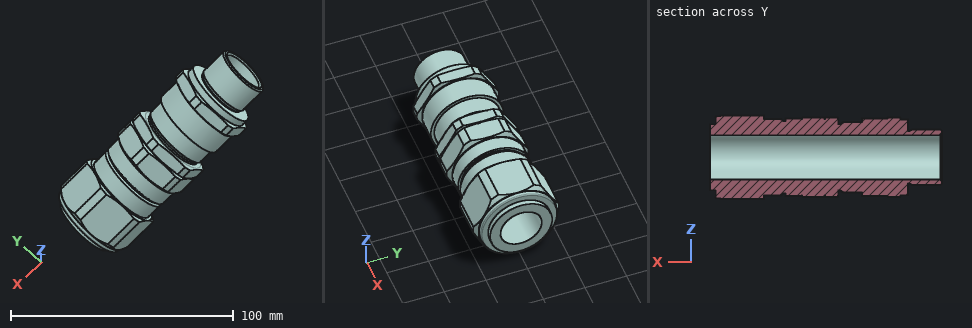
import cadquery as cq
import math

LENGTH = 104.3

THREAD_R = 12.5
THREAD_NECK_R = 11.8
FLANGE_R = 17.1
BODY_R = 17.5
STEP_R = 15.9
STEP_NECK_R = 15.0
GROOVE_R = 16.3
SLEEVE_R = 17.2
COLLAR_R = 18.5
TAIL_R = 14.9
BORE_R = 9.9

THREAD_END = 14.8
FLANGE_START = 15.2
LOCK_NUT_START = 18.6
LOCK_NUT_END = 24.7
BODY_END = 36.0
STEP_END = 45.7
MIDDLE_NUT_START = 46.6
MIDDLE_NUT_JOINT = 52.7
MIDDLE_NUT_END = 63.1
REAR_BODY_END = 70.4
SLEEVE_START = 71.2
CAP_START = 79.9
CAP_END = 99.7
COLLAR_END = 101.8

THREAD_LEAD = 0.7
THREAD_RUNOUT = 1.4
STEP_CHAMFER = 1.3
SLEEVE_CHAMFER = 1.0
COLLAR_ROUND = 0.5
BORE_CHAMFER = 0.8

NUT_FLATS = 35.9
NUT_CORNERS = 39.4
CAP_FLATS = 37.5
CAP_CORNERS = 41.2

SHALLOW_CHAMFER = 0.6
NUT_FRONT_CHAMFER = 0.8
NUT_REAR_CHAMFER = 1.4
CAP_FRONT_CHAMFER = 0.9
CAP_REAR_CHAMFER = 1.9


def revolve_about_x(profile):
    """Solid of revolution from (x, radius) points whose ends lie on the X axis."""
    return cq.Workplane("XY").polyline(profile).close().revolve(360, (0, 0, 0), (1, 0, 0))


def disc(start, end, radius):
    """Plain cylinder along X."""
    return cq.Workplane("YZ", origin=(start, 0, 0)).circle(radius).extrude(end - start)


def hex_nut(start, end, flats, corners, face_r, front_chamfer, rear_chamfer):
    """Hexagon with corners on +Y and -Y, turned round and chamfered at the corners."""
    hexagon = (
        cq.Workplane("YZ", origin=(start, 0, 0))
        .polygon(6, flats / math.cos(math.pi / 6))
        .extrude(end - start)
    )
    corner_r = corners / 2
    turned = revolve_about_x([
        (start, 0),
        (start, face_r),
        (start + front_chamfer, corner_r),
        (end - rear_chamfer, corner_r),
        (end, face_r),
        (end, 0),
    ])
    return hexagon.intersect(turned)


def small_nut(start, end, front_chamfer, rear_chamfer):
    """Nut of the common smaller size, chamfered down to the flange radius."""
    return hex_nut(start, end, NUT_FLATS, NUT_CORNERS, FLANGE_R, front_chamfer, rear_chamfer)


def turned_body():
    """Thread, flange, stepped body, grooved sleeve and tail in one profile."""
    return revolve_about_x([
        (0, 0),
        (0, THREAD_R - THREAD_LEAD),
        (THREAD_LEAD, THREAD_R),
        (THREAD_END - THREAD_RUNOUT, THREAD_R),
        (THREAD_END, THREAD_NECK_R),
        (FLANGE_START, THREAD_NECK_R),
        (FLANGE_START, FLANGE_R),
        (LOCK_NUT_END, FLANGE_R),
        (LOCK_NUT_END, BODY_R),
        (BODY_END, BODY_R),
        (BODY_END, STEP_R),
        (STEP_END - STEP_CHAMFER, STEP_R),
        (STEP_END, STEP_NECK_R),
        (MIDDLE_NUT_END, STEP_NECK_R),
        (MIDDLE_NUT_END, BODY_R),
        (REAR_BODY_END, BODY_R),
        (REAR_BODY_END, GROOVE_R),
        (SLEEVE_START, GROOVE_R),
        (SLEEVE_START + SLEEVE_CHAMFER, SLEEVE_R),
        (CAP_END, SLEEVE_R),
        (CAP_END, TAIL_R),
        (LENGTH, TAIL_R),
        (LENGTH, 0),
    ])


def bore():
    """Through bore with a chamfered mouth at the thread end."""
    return revolve_about_x([
        (0, 0),
        (0, BORE_R + BORE_CHAMFER),
        (BORE_CHAMFER, BORE_R),
        (LENGTH, BORE_R),
        (LENGTH, 0),
    ])


lock_nut = small_nut(LOCK_NUT_START, LOCK_NUT_END, SHALLOW_CHAMFER, SHALLOW_CHAMFER)
middle_front_nut = small_nut(MIDDLE_NUT_START, MIDDLE_NUT_JOINT, SHALLOW_CHAMFER, SHALLOW_CHAMFER)
middle_rear_nut = small_nut(MIDDLE_NUT_JOINT, MIDDLE_NUT_END, NUT_FRONT_CHAMFER, NUT_REAR_CHAMFER)
cap_nut = hex_nut(
    CAP_START, CAP_END, CAP_FLATS, CAP_CORNERS, CAP_FLATS / 2, CAP_FRONT_CHAMFER, CAP_REAR_CHAMFER
)
collar = disc(CAP_END, COLLAR_END, COLLAR_R).faces(">X").edges().fillet(COLLAR_ROUND)

result = turned_body()
for ring in (lock_nut, middle_front_nut, middle_rear_nut, cap_nut, collar):
    result = result.union(ring)
result = result.cut(bore())